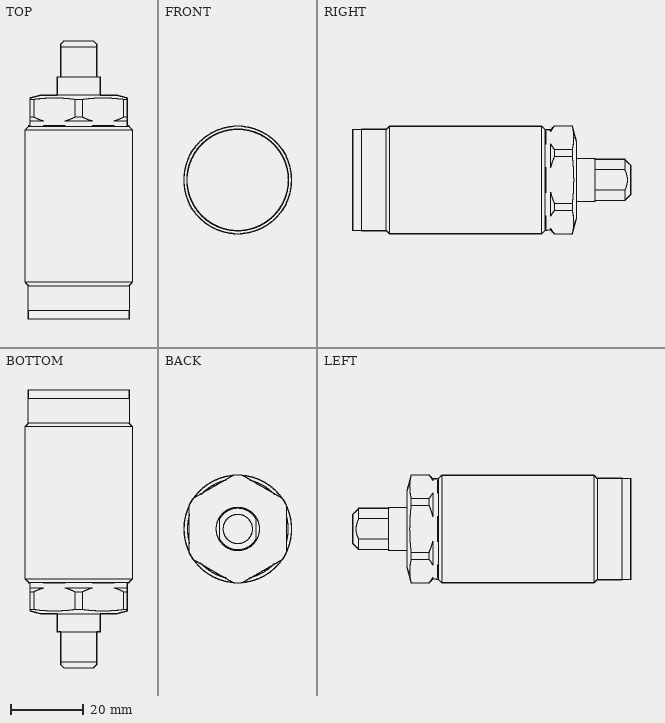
import cadquery as cq
import math

overall_length = 77.0
cap_length = 2.4
body_start = 9.2
body_length = 44.1
rod_thick_length = 5.0
rod_thin_length = 10.0

spigot_radius = 14.1
cap_radius = 14.0
body_radius = 14.925
body_chamfer = 1.0

hex_across_flats = 27.0
hex_corner_radius = 15.0
hex_face_radius = 10.5
hex_chamfer_angle = 15.0
neck_radius = body_radius - body_chamfer
neck_length = 1.5
collar_length = 0.2

rod_thick_radius = 6.0
rod_thin_radius = 5.75
rod_across_flats = 10.0
tip_chamfer = 1.7

body_end = body_start + body_length
shoulder = overall_length - rod_thin_length
hex_end = shoulder - rod_thick_length
hex_start = body_end + collar_length
hex_length = hex_end - hex_start


def cylinder(radius, start, length):
    """Cylinder on the Y axis running from start towards +Y."""
    plane = cq.Plane(origin=(0, start, 0), xDir=(1, 0, 0), normal=(0, 1, 0))
    return cq.Workplane(plane).circle(radius).extrude(length)


def make_body():
    """Rear cap, spigot and main barrel with both rims chamfered."""
    cap = cylinder(cap_radius, 0, cap_length)
    spigot = cylinder(spigot_radius, cap_length, body_start - cap_length)
    barrel = cylinder(body_radius, body_start, body_length).edges("%CIRCLE").chamfer(body_chamfer)
    return cap.union(spigot).union(barrel)


def make_hex_head():
    """Hexagon with flats facing +X and -X, trimmed by a turned profile, on a round collar."""
    chamfer_drop = (hex_corner_radius - hex_face_radius) * math.tan(math.radians(hex_chamfer_angle))
    neck_end = body_end + neck_length
    neck_cone_end = neck_end + hex_corner_radius - neck_radius
    turned = (
        cq.Workplane("XY")
        .moveTo(0, hex_start)
        .lineTo(neck_radius, hex_start)
        .lineTo(neck_radius, neck_end)
        .lineTo(hex_corner_radius, neck_cone_end)
        .lineTo(hex_corner_radius, hex_end - chamfer_drop)
        .lineTo(hex_face_radius, hex_end)
        .lineTo(0, hex_end)
        .close()
        .revolve(360, (0, 0, 0), (0, 1, 0))
    )
    plane = cq.Plane(origin=(0, hex_start, 0), xDir=(0, 0, 1), normal=(0, 1, 0))
    corner_diameter = hex_across_flats / math.cos(math.pi / 6)
    hexagon = cq.Workplane(plane).polygon(6, corner_diameter).extrude(hex_length)
    collar = cylinder(neck_radius, body_end, collar_length)
    return hexagon.intersect(turned).union(collar)


def make_rod():
    """Stepped rod with a chamfered tip and two wrench flats facing +X and -X."""
    thick = cylinder(rod_thick_radius, hex_end, rod_thick_length)
    thin = cylinder(rod_thin_radius, shoulder, rod_thin_length).faces(">Y").chamfer(tip_chamfer)
    flats = cq.Workplane("XY").box(rod_across_flats, rod_thin_length, 2 * rod_thin_radius)
    flats = flats.translate((0, shoulder + rod_thin_length / 2, 0))
    return thick.union(thin.intersect(flats))


result = make_body().union(make_hex_head()).union(make_rod())